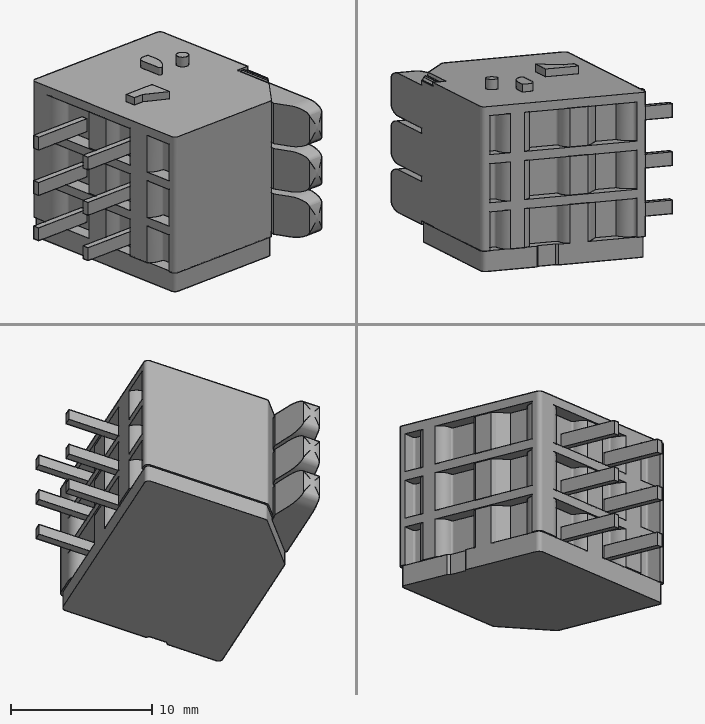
import cadquery as cq
import math

BODY_X = 14.49
BODY_Y = 12.72
BODY_TOP = 12.0
CORNER_RADIUS = 0.33
CHAMFER_START_X = 10.91
CHAMFER_END_Y = 9.6

PLINTH_TOP = 1.51
PLINTH_INSET = 0.12
KEYWAY_Y_MIN = 6.75
KEYWAY_Y_MAX = 8.44
KEYWAY_DEPTH = 0.17
KEYWAY_FLANK = 0.18

POLE_COUNT = 3
POLE_PITCH = 3.5
POCKET_HEIGHT = 2.84
FRONT_DEPTH = 1.16
SIDE_DEPTH = 1.08
FLOOR_FILLET = 0.15

RAMP_POCKET_Y_MAX = 4.48
RAMP_LIP_WIDTH = 0.28
RAMP_LIP_DEPTH = 0.32
RAMP_WIDTH = 0.96
HUMP_RADIUS = 1.0
HUMP_SINK = 0.35
RAMP_POCKET_Y_MIN = 0.75
HUMP_FILLET = 0.2

FRONT_DIVIDER = (5.65, 7.38)
LEFT_DIVIDER = (RAMP_POCKET_Y_MAX, 5.89)
DIVIDER_INSET = PLINTH_INSET

FRONT_POCKET_WALLS = [
    ((1.53, 0, 1.01), (FRONT_DIVIDER[0], DIVIDER_INSET, 0.38)),
    ((FRONT_DIVIDER[1], DIVIDER_INSET, 0.38), (9.96, 0, 0.38)),
    ((11.69, 0, 0.45), (13.9, 0, 0)),
]
LEFT_POCKET_WALLS = [
    ((LEFT_DIVIDER[1], DIVIDER_INSET, 0.53), (9.42, 0, 0.7)),
    ((10.51, 0, 0.68), (12.1, 0, 0)),
]

OVERCUT = 0.17

PIN_WIDTH = 0.5
PIN_HEIGHT = 1.0
PIN_PITCH = 5.0
PIN_FIRST_X = 4.15
PIN_FIRST_Z = 2.55
PIN_LENGTH = 3.63
PIN_ROOT = 0.33

LEVER_TIP_X = 16.58
LEVER_HEIGHT = 3.12
LEVER_FIRST_Z = 2.84
LEVER_HEEL_X = 13.63
LEVER_HEEL_Y = 10.43
LEVER_TOE_X = 13.91
LEVER_TOE_Y = 10.38
LEVER_TIP_Y_MIN = 11.47
LEVER_SHOULDER_X = 16.4
LEVER_BLEND_X = 15.14
LEVER_KNUCKLE_X = 16.13
LEVER_KNUCKLE_DROP = 0.25
LEVER_SHOULDER_DROP = 0.53

PEG_X = 5.42
PEG_Y = 9.63
PEG_DIAMETER = 0.9
PEG_HEIGHT = 0.75
KEY_HEIGHT = 0.56

LEAF_X_MIN = 3.45
LEAF_X_MAX = 5.7
LEAF_Y_MIN = 7.11
LEAF_Y_MAX = 8.12
LEAF_FLAT_END_X = 4.21
LEAF_TIP_Y = 7.33
LEAF_HEEL_RADIUS = 0.51
LEAF_TOE_RADIUS = 0.13

WEDGE_X_MIN = 7.43
WEDGE_X_MAX = 9.2
WEDGE_STEM_X = 8.25
WEDGE_Y_MIN = 2.09
WEDGE_STEM_Y = 2.92
WEDGE_Y_MAX = 4.65

GROOVE_START_X = 8.89
GROOVE_OUTLINE = [
    (11.7, 0.0),
    (11.82, 0.2),
    (12.0, 0.22),
    (12.14, 0.12),
    (12.37, 0.15),
    (12.58, 0.28),
]


def pole_levels(first_z):
    return [first_z + pole * POLE_PITCH for pole in range(POLE_COUNT)]


def housing_block(bottom, top, inset):
    """Housing outline, moved in by inset, with every vertical edge rounded but the chamfer's rear one."""
    outline = [
        (0, 0),
        (BODY_X, 0),
        (BODY_X, CHAMFER_END_Y),
        (CHAMFER_START_X, BODY_Y),
        (0, BODY_Y),
    ]
    block = (
        cq.Workplane("XY")
        .workplane(offset=bottom)
        .polyline(outline)
        .close()
        .offset2D(-inset)
        .extrude(top - bottom)
    )
    chamfer_rear_edge = cq.selectors.NearestToPointSelector((CHAMFER_START_X, BODY_Y, (bottom + top) / 2))
    rounded_edges = cq.selectors.SubtractSelector(cq.selectors.StringSyntaxSelector("|Z"), chamfer_rear_edge)
    return block.edges(rounded_edges).fillet(CORNER_RADIUS)


def keyway():
    """Flared groove through the full height of the plinth on its left face."""
    face_x = PLINTH_INSET
    floor_x = PLINTH_INSET + KEYWAY_DEPTH
    outline = [
        (face_x, KEYWAY_Y_MIN),
        (floor_x, KEYWAY_Y_MIN + KEYWAY_FLANK),
        (floor_x, KEYWAY_Y_MAX - KEYWAY_FLANK),
        (face_x, KEYWAY_Y_MAX),
        (0, KEYWAY_Y_MAX),
        (0, KEYWAY_Y_MIN),
    ]
    return cq.Workplane("XY").polyline(outline).close().extrude(PLINTH_TOP)


def on_front_face(along, depth):
    return (along, depth)


def on_left_face(along, depth):
    return (depth, along)


def pocket_wall(rim, rim_depth, run, depth, inward):
    """Points of one pocket wall from rim to floor: rim, bulge middle, foot, fillet middle, floor.

    The wall bulges by an arc that covers run along the face and ends square to it, then a
    fillet meets the floor. inward is +1 or -1, the direction from the rim into the pocket.
    """
    foot_depth = depth - FLOOR_FILLET
    drop = foot_depth - rim_depth
    fillet_offset = FLOOR_FILLET * (1 - math.sqrt(0.5))
    if run == 0:
        bulge_middle = (rim, rim_depth + drop / 2)
    else:
        radius = (drop**2 + run**2) / (2 * run)
        half_angle = math.atan2(drop, radius - run) / 2
        bulge_along = run - radius * (1 - math.cos(half_angle))
        bulge_middle = (rim + inward * bulge_along, foot_depth - radius * math.sin(half_angle))
    foot = rim + inward * run
    return [
        (rim, rim_depth),
        bulge_middle,
        (foot, foot_depth),
        (foot + inward * fillet_offset, depth - fillet_offset),
        (foot + inward * FLOOR_FILLET, depth),
    ]


def bulged_pocket(place, depth, start_wall, end_wall):
    """Outline of a pocket along a face; each wall is given as (rim position, rim depth, bulge run)."""
    start_points = pocket_wall(*start_wall, depth, 1)
    end_points = pocket_wall(*end_wall, depth, -1)
    rim_1, bulge_1, foot_1, fillet_1, floor_1 = [place(*point) for point in start_points]
    rim_2, bulge_2, foot_2, fillet_2, floor_2 = [place(*point) for point in end_points]
    outline = cq.Workplane("XY").moveTo(*place(start_wall[0], -OVERCUT)).lineTo(*rim_1)
    outline = outline.threePointArc(bulge_1, foot_1) if start_wall[2] else outline.lineTo(*foot_1)
    outline = outline.threePointArc(fillet_1, floor_1).lineTo(*floor_2).threePointArc(fillet_2, foot_2)
    outline = outline.threePointArc(bulge_2, rim_2) if end_wall[2] else outline.lineTo(*rim_2)
    return outline.lineTo(*place(end_wall[0], -OVERCUT)).close()


def ramp_pocket():
    """Outline of the left-face pocket nearest the front: a lipped ramp facing a round hump."""
    lip_y = RAMP_POCKET_Y_MAX - RAMP_LIP_WIDTH
    hump_y = RAMP_POCKET_Y_MIN + HUMP_FILLET
    hump_center_x = HUMP_SINK + HUMP_RADIUS
    end_angle = math.acos((hump_center_x - SIDE_DEPTH) / HUMP_RADIUS)
    fillet_offset = HUMP_FILLET * (1 - math.sqrt(0.5))

    def on_hump(angle):
        return (hump_center_x - HUMP_RADIUS * math.cos(angle), hump_y + HUMP_RADIUS * math.sin(angle))

    return (
        cq.Workplane("XY")
        .moveTo(-OVERCUT, RAMP_POCKET_Y_MAX)
        .lineTo(DIVIDER_INSET, RAMP_POCKET_Y_MAX)
        .lineTo(RAMP_LIP_DEPTH, lip_y)
        .lineTo(SIDE_DEPTH, RAMP_POCKET_Y_MAX - RAMP_WIDTH)
        .lineTo(*on_hump(end_angle))
        .threePointArc(on_hump(end_angle / 2), on_hump(0))
        .threePointArc(
            (HUMP_SINK - fillet_offset, RAMP_POCKET_Y_MIN + fillet_offset),
            (HUMP_SINK - HUMP_FILLET, RAMP_POCKET_Y_MIN),
        )
        .lineTo(-OVERCUT, RAMP_POCKET_Y_MIN)
        .close()
    )


def recess(place, start, end):
    """Outline of the strip that sets a divider between two pockets back to the plinth face."""
    corners = [(start, -OVERCUT), (end, -OVERCUT), (end, DIVIDER_INSET), (start, DIVIDER_INSET)]
    return cq.Workplane("XY").polyline([place(*corner) for corner in corners]).close()


def pockets():
    """All pockets of one pole, standing on the XY plane."""
    outlines = [bulged_pocket(on_front_face, FRONT_DEPTH, *walls) for walls in FRONT_POCKET_WALLS]
    outlines += [bulged_pocket(on_left_face, SIDE_DEPTH, *walls) for walls in LEFT_POCKET_WALLS]
    outlines += [ramp_pocket(), recess(on_front_face, *FRONT_DIVIDER), recess(on_left_face, *LEFT_DIVIDER)]
    cutter = cq.Workplane("XY")
    for outline in outlines:
        cutter = cutter.add(outline.extrude(POCKET_HEIGHT))
    return cutter.combine()


def pin(x, z):
    length = PIN_LENGTH + FRONT_DEPTH + PIN_ROOT
    blank = cq.Workplane("XY").box(PIN_WIDTH, length, PIN_HEIGHT, centered=(True, False, True))
    return blank.translate((x, -PIN_LENGTH, z))


def lever():
    """Release lever centred on the XY plane: a plan outline trimmed to a rounded front outline."""
    half_height = LEVER_HEIGHT / 2
    tip_middle_y = (BODY_Y + LEVER_TIP_Y_MIN) / 2
    plan = (
        cq.Workplane("XY")
        .workplane(offset=-half_height)
        .moveTo(CHAMFER_START_X, BODY_Y)
        .lineTo(LEVER_SHOULDER_X, BODY_Y)
        .threePointArc((LEVER_TIP_X, tip_middle_y), (LEVER_SHOULDER_X, LEVER_TIP_Y_MIN))
        .lineTo(LEVER_TOE_X, LEVER_TOE_Y)
        .lineTo(LEVER_HEEL_X, LEVER_HEEL_Y)
        .lineTo(CHAMFER_START_X, LEVER_HEEL_Y)
        .close()
        .extrude(LEVER_HEIGHT)
    )
    knuckle_z = half_height - LEVER_KNUCKLE_DROP
    shoulder_z = half_height - LEVER_SHOULDER_DROP
    front = (
        cq.Workplane("XZ")
        .moveTo(CHAMFER_START_X, half_height)
        .lineTo(LEVER_BLEND_X, half_height)
        .tangentArcPoint((LEVER_KNUCKLE_X, knuckle_z), relative=False)
        .tangentArcPoint((LEVER_SHOULDER_X, shoulder_z), relative=False)
        .threePointArc((LEVER_TIP_X, 0), (LEVER_SHOULDER_X, -shoulder_z))
        .lineTo(CHAMFER_START_X, -shoulder_z)
        .close()
        .extrude(-BODY_Y)
    )
    front = front.union(front.mirror("XY"))
    return plan.intersect(front)


def leaf_key():
    return (
        cq.Workplane("XY")
        .workplane(offset=BODY_TOP)
        .moveTo(LEAF_X_MIN, LEAF_Y_MAX)
        .lineTo(LEAF_FLAT_END_X, LEAF_Y_MAX)
        .tangentArcPoint((LEAF_X_MAX, LEAF_TIP_Y), relative=False)
        .lineTo(LEAF_X_MAX, LEAF_Y_MIN)
        .lineTo(LEAF_X_MIN, LEAF_Y_MIN)
        .close()
        .extrude(KEY_HEIGHT)
        .edges("|Z and <Y and <X")
        .fillet(LEAF_HEEL_RADIUS)
        .edges("|Z and <Y and >X")
        .fillet(LEAF_TOE_RADIUS)
    )


def wedge_key():
    outline = [
        (WEDGE_X_MIN, WEDGE_Y_MIN),
        (WEDGE_STEM_X, WEDGE_Y_MIN),
        (WEDGE_STEM_X, WEDGE_STEM_Y),
        (WEDGE_X_MAX, WEDGE_Y_MAX),
        (WEDGE_X_MIN, WEDGE_Y_MAX),
    ]
    return cq.Workplane("XY").workplane(offset=BODY_TOP).polyline(outline).close().extrude(KEY_HEIGHT)


def peg():
    return (
        cq.Workplane("XY")
        .workplane(offset=BODY_TOP)
        .center(PEG_X, PEG_Y)
        .circle(PEG_DIAMETER / 2)
        .extrude(PEG_HEIGHT)
    )


def rear_grooves():
    outline = [(y, BODY_TOP - depth) for y, depth in GROOVE_OUTLINE]
    front_y = outline[0][0]
    rear_z = outline[-1][1]
    above_z = BODY_TOP + OVERCUT
    outline += [(BODY_Y, rear_z), (BODY_Y, above_z), (front_y, above_z)]
    return (
        cq.Workplane("YZ")
        .workplane(offset=GROOVE_START_X)
        .polyline(outline)
        .close()
        .extrude(BODY_X - GROOVE_START_X)
    )


result = housing_block(0, PLINTH_TOP, PLINTH_INSET).cut(keyway())
result = result.union(housing_block(PLINTH_TOP, BODY_TOP, 0))

pole_pockets = pockets()
for level in pole_levels(PLINTH_TOP):
    result = result.cut(pole_pockets.translate((0, 0, level)))
result = result.cut(rear_grooves())

for level in pole_levels(PIN_FIRST_Z):
    for pin_x in (PIN_FIRST_X, PIN_FIRST_X + PIN_PITCH):
        result = result.union(pin(pin_x, level))

pole_lever = lever()
for level in pole_levels(LEVER_FIRST_Z):
    result = result.union(pole_lever.translate((0, 0, level)))

result = result.union(peg()).union(leaf_key()).union(wedge_key())